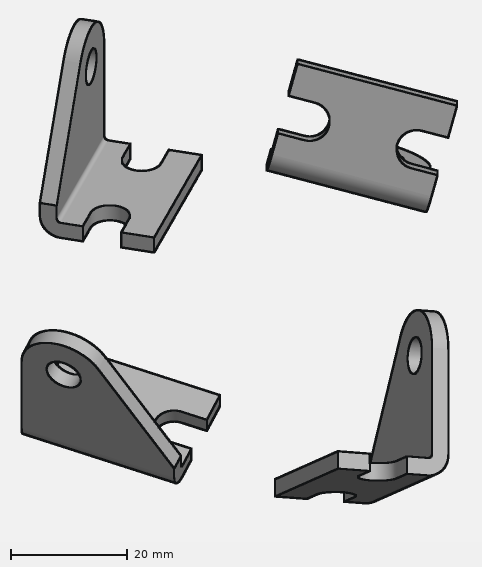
import cadquery as cq
import math

length_x = 20.55
width_y = 28.45
height_z = 30.23
sheet_thickness = 3.05
inner_bend_radius = 0.75
outer_bend_radius = inner_bend_radius + sheet_thickness

lug_radius = 7.85
pivot_hole_diameter = 6.35
short_edge_height = 6.4

slot_width = 6.9
slot_depth = 8.13
slot_center_x = 11.2

front_y = -width_y / 2
back_y = width_y / 2
lug_y = back_y - lug_radius
lug_z = height_z - lug_radius


def make_bent_sheet():
    """L-shaped sheet with concentric inner and outer bend radii."""
    sheet = (
        cq.Workplane("XZ")
        .moveTo(0, 0)
        .lineTo(length_x, 0)
        .lineTo(length_x, sheet_thickness)
        .lineTo(sheet_thickness, sheet_thickness)
        .lineTo(sheet_thickness, height_z)
        .lineTo(0, height_z)
        .close()
        .extrude(width_y / 2, both=True)
    )
    outer_corner = cq.selectors.NearestToPointSelector((0, 0, 0))
    inner_corner = cq.selectors.NearestToPointSelector((sheet_thickness, 0, sheet_thickness))
    sheet = sheet.edges("|Y").edges(outer_corner).fillet(outer_bend_radius)
    return sheet.edges("|Y").edges(inner_corner).fillet(inner_bend_radius)


def make_side_outline():
    """Side silhouette: the sloping edge runs tangent into the lug arc."""
    run = lug_y - front_y
    rise = lug_z - short_edge_height
    toward_corner = math.atan2(-rise, -run)
    tangent_angle = toward_corner - math.acos(lug_radius / math.hypot(run, rise)) + 2 * math.pi
    middle_angle = tangent_angle / 2

    def on_lug(angle):
        return (lug_y + lug_radius * math.cos(angle), lug_z + lug_radius * math.sin(angle))

    return (
        cq.Workplane("YZ")
        .moveTo(front_y, 0)
        .lineTo(back_y, 0)
        .lineTo(back_y, lug_z)
        .threePointArc(on_lug(middle_angle), on_lug(tangent_angle))
        .lineTo(front_y, short_edge_height)
        .close()
        .extrude(length_x)
    )


def make_pivot_hole():
    return (
        cq.Workplane("YZ")
        .center(lug_y, lug_z)
        .circle(pivot_hole_diameter / 2)
        .extrude(sheet_thickness)
    )


def make_edge_slot(side):
    """Round-ended slot open to the edge at side = -1 (front) or +1 (back)."""
    return (
        cq.Workplane("XY")
        .center(slot_center_x, side * width_y / 2)
        .slot2D(2 * slot_depth, slot_width, 90)
        .extrude(sheet_thickness)
    )


result = make_bent_sheet().intersect(make_side_outline()).cut(make_pivot_hole())
for side in (-1, 1):
    result = result.cut(make_edge_slot(side))